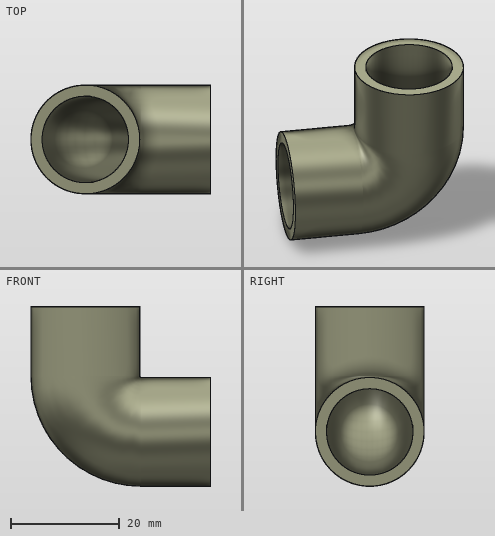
import cadquery as cq

overall_length = 33.0
outer_diameter = 20.0
bore_diameter = 15.87
leg_length = 12.75

bend_radius = overall_length - leg_length - outer_diameter / 2

centreline = (
    cq.Workplane("XZ")
    .lineTo(0, -leg_length)
    .radiusArc((bend_radius, -leg_length - bend_radius), -bend_radius)
    .lineTo(bend_radius + leg_length, -leg_length - bend_radius)
)

wall_section = cq.Workplane("XY").circle(outer_diameter / 2).circle(bore_diameter / 2)

result = wall_section.sweep(centreline)